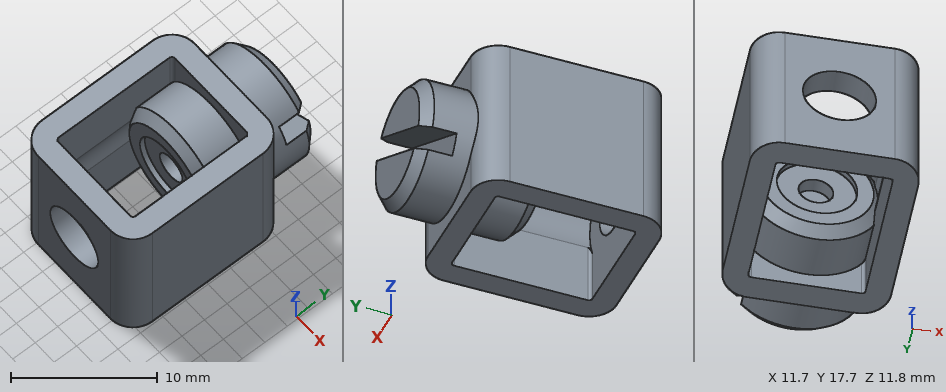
import cadquery as cq

HOUSING_WIDTH = 11.68
HOUSING_DEPTH = 13.89
HOUSING_HEIGHT = 11.76
WALL = 1.78
OUTER_CORNER_RADIUS = 2.03
INNER_CORNER_RADIUS = 0.25
FRONT_HOLE_DIAMETER = 5.08
TAPPING_BORE_DIAMETER = 8.51

SCREW_DIAMETER = 9.4
SCREW_LENGTH = 9.53
SCREW_PROTRUSION = 3.81
SCREW_CHAMFER = 0.77
SLOT_WIDTH = 1.59
SLOT_DEPTH = 2.54
SLOT_ANGLE = 30
TIP_RECESS_DIAMETER = 5.59
TIP_RECESS_DEPTH = 0.43
TIP_HOLE_DIAMETER = 2.41
TIP_HOLE_DEPTH = 1.0

CAVITY_WIDTH = HOUSING_WIDTH - 2 * WALL
CAVITY_DEPTH = HOUSING_DEPTH - 2 * WALL
HEAD_Y = HOUSING_DEPTH + SCREW_PROTRUSION
TIP_Y = HEAD_Y - SCREW_LENGTH


def rod(diameter, start_y, length):
    """Cylinder on the screw axis, running from start_y toward +Y."""
    plane = cq.Plane(origin=(0, start_y, 0), xDir=(1, 0, 0), normal=(0, 1, 0))
    return cq.Workplane(plane).circle(diameter / 2).extrude(length)


def upright_block(width, depth, corner_radius):
    """Full-height block with rounded upright edges, centred on the housing."""
    block = cq.Workplane("XY").box(width, depth, HOUSING_HEIGHT)
    return block.edges("|Z").fillet(corner_radius).translate((0, HOUSING_DEPTH / 2, 0))


def screw_blank():
    """Plain screw cylinder chamfered at both ends."""
    return rod(SCREW_DIAMETER, TIP_Y, SCREW_LENGTH).faces("<Y or >Y").chamfer(SCREW_CHAMFER)


def driver_slot():
    """Cutter for the screwdriver slot across the head, turned about the screw axis."""
    slot = cq.Workplane("XY").box(2 * SCREW_DIAMETER, SLOT_DEPTH, SLOT_WIDTH)
    slot = slot.rotate((0, 0, 0), (0, 1, 0), -SLOT_ANGLE)
    return slot.translate((0, HEAD_Y - SLOT_DEPTH / 2, 0))


def make_screw():
    """Slotted screw with a shallow recess and a blind hole in its tip."""
    recess = rod(TIP_RECESS_DIAMETER, TIP_Y, TIP_RECESS_DEPTH)
    tip_hole = rod(TIP_HOLE_DIAMETER, TIP_Y, TIP_RECESS_DEPTH + TIP_HOLE_DEPTH)
    return screw_blank().cut(driver_slot()).cut(recess).cut(tip_hole).solids()


def make_housing():
    """Rounded tube with a front hole and a bore that seats the screw and grooves the side walls."""
    housing = upright_block(HOUSING_WIDTH, HOUSING_DEPTH, OUTER_CORNER_RADIUS)
    housing = housing.cut(upright_block(CAVITY_WIDTH, CAVITY_DEPTH, INNER_CORNER_RADIUS))
    housing = housing.cut(rod(FRONT_HOLE_DIAMETER, 0, WALL))
    housing = housing.cut(rod(TAPPING_BORE_DIAMETER, WALL, HOUSING_DEPTH - WALL))
    return housing.cut(screw_blank()).solids()


housing = make_housing()
screw = make_screw()

result = cq.Compound.makeCompound([housing.val(), screw.val()])